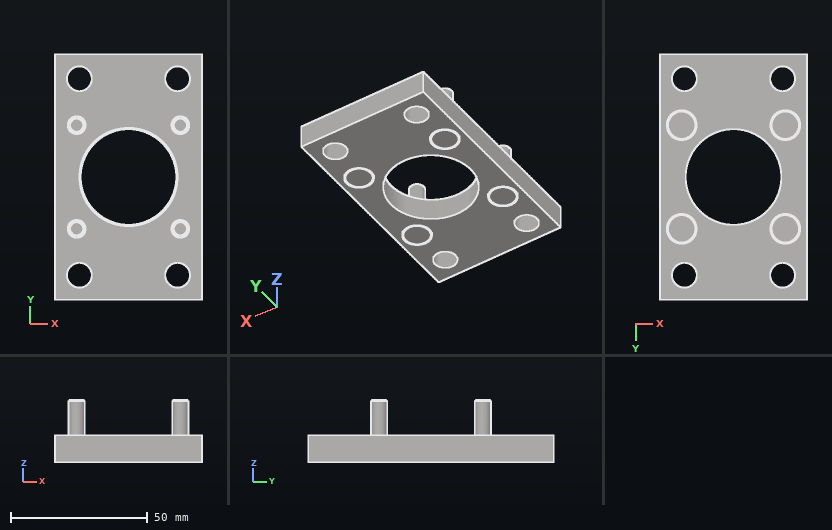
import cadquery as cq

plate_width = 54.0
plate_length = 90.0
plate_thickness = 10.0

bore_diameter = 35.0
bore_chamfer = 0.5

mounting_hole_diameter = 9.0
mounting_spacing_x = 36.0
mounting_spacing_y = 72.0

screw_spacing = 38.0
screw_diameter = 6.0
screw_tip_chamfer = 0.6
screw_projection = 13.05
screw_head_diameter = 10.0
screw_head_height = 4.5

clearance_diameter = 6.6
counterbore_diameter = 11.0
counterbore_depth = screw_head_height

screw_top = plate_thickness + screw_projection
screw_centers = [
    (x_side * screw_spacing / 2, y_side * screw_spacing / 2)
    for x_side in (-1, 1)
    for y_side in (-1, 1)
]


def cylinder(diameter, bottom, top):
    """Upright cylinder on the Z axis between two heights."""
    return cq.Workplane("XY").workplane(offset=bottom).circle(diameter / 2).extrude(top - bottom)


def make_screw_hole():
    """Cutter for one clearance hole, counterbored from below."""
    clearance = cylinder(clearance_diameter, 0, plate_thickness)
    return clearance.union(cylinder(counterbore_diameter, 0, counterbore_depth))


def make_plate():
    """Rectangular plate with its bore, mounting holes and screw holes."""
    plate = cq.Workplane("XY").box(plate_width, plate_length, plate_thickness, centered=(True, True, False))

    plate = plate.cut(cylinder(bore_diameter, 0, plate_thickness))
    plate = plate.faces(">Z").edges("%CIRCLE").chamfer(bore_chamfer)

    plate = (
        plate.faces(">Z")
        .workplane(origin=(0, 0, plate_thickness))
        .rarray(mounting_spacing_x, mounting_spacing_y, 2, 2)
        .hole(mounting_hole_diameter)
    )

    screw_hole = make_screw_hole()
    for x, y in screw_centers:
        plate = plate.cut(screw_hole.translate((x, y, 0)))
    return plate


def make_screw(x, y):
    """Cap screw with its head in the counterbore and a chamfered tip."""
    shank = cylinder(screw_diameter, 0, screw_top).faces(">Z").chamfer(screw_tip_chamfer)
    head = cylinder(screw_head_diameter, 0, screw_head_height)
    return shank.union(head).translate((x, y, 0))


plate = make_plate()
screws = [make_screw(x, y) for x, y in screw_centers]

result = cq.Compound.makeCompound([plate.val(), *[screw.val() for screw in screws]])